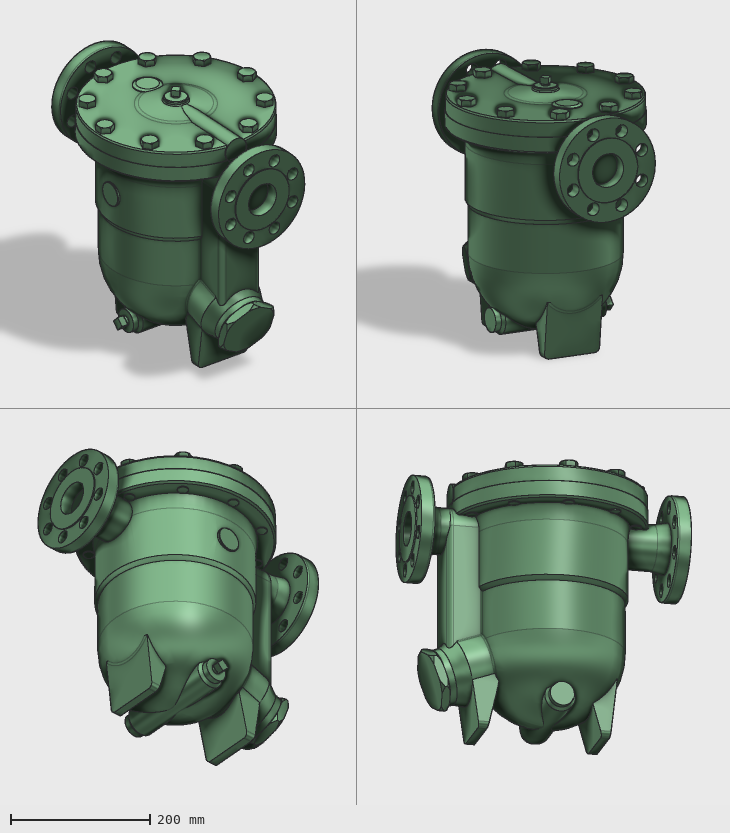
import cadquery as cq
import math

shell_radius = 112.0
shell_spring_z = 134.5
collar_radius = 116.0
collar_bottom_z = 215.5
collar_step_height = 7.3
flare_start_z = 299.0
flare_top_radius = 118.8

flange_radius = 290.0 / 2
flange_bottom_z = 323.5
cover_top_z = 372.5
joint_z = 348.2
cover_radius = flange_radius - 1.0
flange_edge_chamfer = 3.0

bolt_count = 10
bolt_circle_radius = 127.5
bolt_across_flats = 24.0
bolt_across_corners = bolt_across_flats / math.cos(math.pi / 6)
bolt_head_height = 9.5
bolt_corner_cut = 1.5
bolt_shank_diameter = 16.0
bolt_end_length = 1.5

cone_base_radius = 59.8
cone_rim_radius = 54.0
cone_rim_height = 1.2
cone_top_z = 379.0
vent_seat_diameter = 36.0
vent_seat_top_z = 385.0
vent_seat_base_diameter = 39.5
vent_seat_flare = 1.5
vent_seat_chamfer = 1.2
vent_neck_diameter = 12.0
vent_neck_length = 2.5
vent_plug_diagonal = 17.5
vent_plug_top_z = 397.0
spot_boss_x = -68.0
spot_boss_diameter = 34.0
spot_boss_base_diameter = 44.0
spot_boss_base_height = 1.2
spot_boss_height = 3.2
ridge_radius = 19.0
ridge_top_z = 379.5
ridge_start_x = 8.0
ridge_end_x = 144.5

nozzle_z = 307.0
left_face_x = -196.5
face_to_face = 404.0
right_face_x = left_face_x + face_to_face
pipe_diameter = 68.0
hub_diameter = 76.5
hub_length = 19.5
bore_diameter = 50.0
bore_depth = 20.0
pipe_flange_diameter = 155.0
pipe_flange_thickness = 20.0
raised_face_diameter = 96.0
raised_face_height = 2.0
back_edge_length = 3.0
back_edge_depth = 1.0
flange_hole_count = 8
flange_hole_circle_radius = 120.0 / 2
flange_hole_diameter = 19.0

riser_half_width = 35.5
riser_outer_x = 156.5
riser_bottom_z = 101.0
riser_arch_z = 305.5
riser_corner_radius = 8.5

port_tilt = 20.0
port_face_x = 174.5
port_face_z = 78.0
port_length = 113.0
port_radius = 51.5
port_mouth_radius = 42.0
port_taper_start = 46.5
port_taper_end = 24.2
port_plug_across_flats = 84.0
port_plug_across_corners = port_plug_across_flats / math.cos(math.pi / 6)
port_plug_height = 13.5
port_plug_corner_cut = 5.0

foot_width = 89.3
foot_corner_radius = 8.0
left_foot_outline = [(-82.5, 0), (-92.5, 88.0), (-56.5, 88.0), (-56.5, 46.5), (-70.0, 0)]
right_foot_outline = [(99.0, 0), (83.0, 70.0), (89.5, 84.0), (122.5, 71.5), (112.5, 0)]

drain_z = 44.5
drain_radius = 22.5
drain_half_length = 81.5
drain_end_chamfer = 5.5
drain_cap_diameter = 36.0
drain_cap_end_y = 89.5
drain_neck_diameter = 14.0
drain_neck_end_y = 94.0
drain_plug_diagonal = 20.5
drain_plug_end_y = 104.5

port_blend_radius = 3.2
riser_blend_radius = 3.2
foot_blend_radius = 8.0
port_joint_inner_x = 40.5
port_joint_outer_x = 129.3
port_joint_bottom_z = 20.0
port_joint_top_z = 161.5

side_boss_z = 262.5
front_boss_diameter = 37.5
front_boss_reach = 118.5
front_boss_chamfer = 1.0


def rod(plane, diameter, start, end):
    """Cylinder along the plane normal between two offsets."""
    return cq.Workplane(plane).workplane(offset=start).circle(diameter / 2).extrude(end - start)


def hex_head(across_corners, height, corner_cut, both_ends):
    """Hexagonal head whose corners are trimmed by a chamfered disc."""
    head = cq.Workplane("XY").polygon(6, across_corners).extrude(height)
    disc = cq.Workplane("XY").circle(across_corners / 2).extrude(height)
    ends = disc.faces("<Z or >Z") if both_ends else disc.faces(">Z")
    return head.intersect(ends.chamfer(corner_cut))


def square_plug(plane, diagonal, start, end):
    """Square head standing on its corner."""
    return cq.Workplane(plane).workplane(offset=start).polygon(4, diagonal).extrude(end - start)


def make_vessel():
    diagonal = shell_radius * math.sqrt(0.5)
    dome_mid = (diagonal, shell_spring_z - diagonal)
    profile = (
        cq.Workplane("XZ")
        .moveTo(0, shell_spring_z - shell_radius)
        .threePointArc(dome_mid, (shell_radius, shell_spring_z))
        .lineTo(shell_radius, collar_bottom_z - collar_step_height)
        .lineTo(collar_radius, collar_bottom_z)
        .lineTo(collar_radius, flare_start_z)
        .tangentArcPoint((flare_top_radius, flange_bottom_z), relative=False)
        .lineTo(flange_radius - flange_edge_chamfer, flange_bottom_z)
        .lineTo(flange_radius, flange_bottom_z + flange_edge_chamfer)
        .lineTo(flange_radius, joint_z)
        .lineTo(cover_radius, joint_z)
        .lineTo(cover_radius, cover_top_z - flange_edge_chamfer)
        .lineTo(cover_radius - flange_edge_chamfer / 2, cover_top_z)
        .lineTo(0, cover_top_z)
        .close()
    )
    return profile.revolve(360, (0, 0, 0), (0, 1, 0))


def make_bolts():
    head = hex_head(bolt_across_corners, bolt_head_height, bolt_corner_cut, False)
    head = head.translate((0, bolt_circle_radius, cover_top_z))
    end = rod("XY", bolt_shank_diameter, flange_bottom_z - bolt_end_length, joint_z)
    bolt = head.union(end.translate((0, bolt_circle_radius, 0)))
    bolts = cq.Workplane("XY")
    for index in range(bolt_count):
        bolts.add(bolt.rotate((0, 0, 0), (0, 0, 1), index * 360 / bolt_count).vals())
    return bolts.combine()


def make_cover_center():
    """Shallow cone, vent seat and square vent plug on the vessel axis."""
    profile = (
        cq.Workplane("XZ")
        .moveTo(0, joint_z)
        .lineTo(cone_base_radius, joint_z)
        .lineTo(cone_base_radius, cover_top_z)
        .lineTo(cone_rim_radius, cover_top_z + cone_rim_height)
        .lineTo(vent_seat_base_diameter / 2, cone_top_z)
        .lineTo(vent_seat_diameter / 2, cone_top_z + vent_seat_flare)
        .lineTo(vent_seat_diameter / 2, vent_seat_top_z - vent_seat_chamfer)
        .lineTo(vent_seat_diameter / 2 - vent_seat_chamfer, vent_seat_top_z)
        .lineTo(0, vent_seat_top_z)
        .close()
    )
    plug_bottom_z = vent_seat_top_z + vent_neck_length
    center = profile.revolve(360, (0, 0, 0), (0, 1, 0))
    center = center.union(rod("XY", vent_neck_diameter, joint_z, plug_bottom_z))
    return center.union(square_plug("XY", vent_plug_diagonal, plug_bottom_z, vent_plug_top_z))


def make_spot_boss():
    """Low round boss with a flared base lapping onto the cone."""
    profile = (
        cq.Workplane("XZ")
        .lineTo(0, -spot_boss_height)
        .lineTo(spot_boss_base_diameter / 2, -spot_boss_height)
        .lineTo(spot_boss_base_diameter / 2, spot_boss_base_height)
        .lineTo(spot_boss_diameter / 2, spot_boss_height)
        .lineTo(0, spot_boss_height)
        .close()
    )
    boss = profile.revolve(360, (0, 0, 0), (0, 1, 0))
    return boss.translate((spot_boss_x, 0, cover_top_z))


def make_ridge():
    """Rounded ridge from the vent seat out to the cover edge."""
    ridge = rod("YZ", 2 * ridge_radius, ridge_start_x, ridge_end_x)
    return ridge.translate((0, 0, ridge_top_z - ridge_radius))


def make_nozzle(face_x):
    """Pipe, conical hub and drilled flange, revolved about the nozzle axis."""
    side = math.copysign(1, face_x)
    flange_front = face_x - side * raised_face_height
    flange_back = flange_front - side * pipe_flange_thickness
    hub_end = flange_back - side * hub_length
    profile = (
        cq.Workplane("XZ", origin=(0, 0, nozzle_z))
        .moveTo(0, 0)
        .lineTo(0, pipe_diameter / 2)
        .lineTo(hub_end, pipe_diameter / 2)
        .lineTo(flange_back, hub_diameter / 2)
        .lineTo(flange_back, pipe_flange_diameter / 2 - back_edge_depth)
        .lineTo(flange_back + side * back_edge_length, pipe_flange_diameter / 2)
        .lineTo(flange_front, pipe_flange_diameter / 2)
        .lineTo(flange_front, raised_face_diameter / 2)
        .lineTo(face_x, raised_face_diameter / 2)
        .lineTo(face_x, 0)
        .close()
    )
    nozzle = profile.revolve(360, (0, 0, 0), (1, 0, 0))
    holes = (
        cq.Workplane("YZ", origin=(flange_back, 0, nozzle_z))
        .polarArray(flange_hole_circle_radius, 180 / flange_hole_count, 360, flange_hole_count)
        .circle(flange_hole_diameter / 2)
        .extrude(side * pipe_flange_thickness)
    )
    return nozzle.cut(holes)


def make_bore(face_x):
    depth = -math.copysign(bore_depth, face_x)
    return cq.Workplane("YZ", origin=(face_x, 0, nozzle_z)).circle(bore_diameter / 2).extrude(depth)


def make_riser():
    """Upright duct with a half-round top and a rounded outer edge."""
    riser = (
        cq.Workplane("YZ")
        .moveTo(-riser_half_width, riser_bottom_z)
        .lineTo(riser_half_width, riser_bottom_z)
        .lineTo(riser_half_width, riser_arch_z)
        .threePointArc((0, riser_arch_z + riser_half_width), (-riser_half_width, riser_arch_z))
        .close()
        .extrude(riser_outer_x)
    )
    return riser.faces(">X").edges().fillet(riser_corner_radius)


def make_port():
    """Tilted port with its hexagonal plug; built along Z with the plug's outer face at Z = 0."""
    profile = (
        cq.Workplane("XZ")
        .moveTo(0, -port_length)
        .lineTo(port_radius, -port_length)
        .lineTo(port_radius, -port_taper_start)
        .lineTo(port_mouth_radius, -port_taper_end)
        .lineTo(port_mouth_radius, -port_plug_height)
        .lineTo(0, -port_plug_height)
        .close()
    )
    plug = hex_head(port_plug_across_corners, port_plug_height, port_plug_corner_cut, True)
    port = profile.revolve(360, (0, 0, 0), (0, 1, 0))
    port = port.union(plug.translate((0, 0, -port_plug_height)))
    port = port.rotate((0, 0, 0), (0, 1, 0), 90 + port_tilt)
    return port.translate((port_face_x, 0, port_face_z))


def make_foot(outline):
    foot = cq.Workplane("XZ").polyline(outline).close().extrude(foot_width / 2, both=True)
    return foot.faces("<Z").edges("|X").fillet(foot_corner_radius)


def make_drain():
    """Cross tube with a cap at each end and a square plug at the -Y end."""
    tube = rod("XZ", 2 * drain_radius, -drain_half_length, drain_half_length)
    tube = tube.faces("<Y or >Y").chamfer(drain_end_chamfer)
    drain = tube.union(rod("XZ", drain_cap_diameter, -drain_cap_end_y, drain_cap_end_y))
    drain = drain.union(rod("XZ", drain_neck_diameter, 0, drain_neck_end_y))
    drain = drain.union(square_plug("XZ", drain_plug_diagonal, drain_neck_end_y, drain_plug_end_y))
    return drain.translate((0, 0, drain_z))


def make_front_boss():
    boss = rod("XZ", front_boss_diameter, 0, front_boss_reach)
    return boss.faces("<Y").chamfer(front_boss_chamfer).translate((0, 0, side_boss_z))


def box_edges(body, corner, opposite):
    """Edges of the body whose centers lie between two corner points."""
    return body.edges(cq.selectors.BoxSelector(corner, opposite))


def make_lower_body():
    """Vessel with port, riser and feet, blended where they meet the shell."""
    body = make_vessel().union(make_port())
    port_joint = box_edges(
        body,
        (port_joint_inner_x, -port_radius, port_joint_bottom_z),
        (port_joint_outer_x, port_radius, port_joint_top_z),
    )
    body = port_joint.fillet(port_blend_radius).union(make_riser())
    riser_joint = box_edges(
        body,
        (0, -shell_radius, shell_spring_z),
        (shell_radius, shell_radius, collar_bottom_z),
    ).edges("|Z")
    body = riser_joint.fillet(riser_blend_radius).union(make_foot(left_foot_outline))
    outer_x, outer_z = left_foot_outline[1]
    outer_joint = body.edges(cq.selectors.NearestToPointSelector((outer_x, 0, outer_z)))
    body = outer_joint.fillet(foot_blend_radius)
    return body.union(make_foot(right_foot_outline))


result = make_lower_body()
for feature in (
    make_cover_center(),
    make_spot_boss(),
    make_ridge(),
    make_bolts(),
    make_nozzle(left_face_x),
    make_nozzle(right_face_x),
    make_drain(),
    make_front_boss(),
):
    result = result.union(feature)
for bore_face_x in (left_face_x, right_face_x):
    result = result.cut(make_bore(bore_face_x))